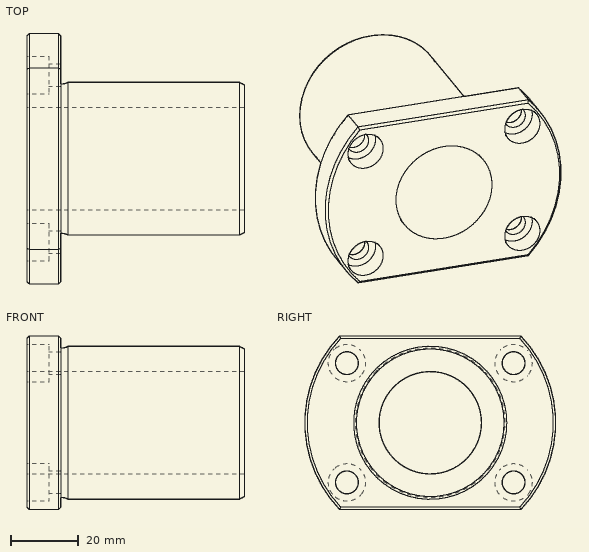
import cadquery as cq
import math

total_length = 64.0
bore_diameter = 30.0

flange_diameter = 73.75
flange_height = 51.0
flange_thickness = 10.0
flange_chamfer = 0.75

sleeve_diameter = 45.0
sleeve_end_chamfer_length = 1.55
sleeve_end_chamfer_depth = 0.8

neck_length = 2.15
neck_depth = 0.5

hole_diameter = 6.6
counterbore_diameter = 11.0
counterbore_depth = 6.55
hole_spacing_y = 49.0
hole_spacing_z = 35.0


def make_flange():
    disc = cq.Workplane("YZ").circle(flange_diameter / 2).extrude(flange_thickness)
    flats = cq.Workplane("YZ").rect(flange_diameter, flange_height).extrude(flange_thickness)
    return disc.intersect(flats).faces("<X or >X").edges().chamfer(flange_chamfer)


def make_sleeve():
    sleeve_radius = sleeve_diameter / 2
    neck_radius = sleeve_radius - neck_depth
    neck_end = flange_thickness + neck_length
    flare_radius = (neck_length**2 + neck_depth**2) / (2 * neck_depth)
    half_angle = math.asin(neck_length / flare_radius) / 2
    flare_middle = (
        flange_thickness + flare_radius * math.sin(half_angle),
        neck_radius + flare_radius * (1 - math.cos(half_angle)),
    )
    profile = (
        cq.Workplane("XY")
        .lineTo(0, neck_radius)
        .lineTo(flange_thickness, neck_radius)
        .threePointArc(flare_middle, (neck_end, sleeve_radius))
        .lineTo(total_length - sleeve_end_chamfer_length, sleeve_radius)
        .lineTo(total_length, sleeve_radius - sleeve_end_chamfer_depth)
        .lineTo(total_length, 0)
        .close()
    )
    return profile.revolve(360, (0, 0, 0), (1, 0, 0))


def make_bore():
    return cq.Workplane("YZ").circle(bore_diameter / 2).extrude(total_length)


def make_mounting_holes():
    centres = cq.Workplane("YZ").rect(hole_spacing_y, hole_spacing_z, forConstruction=True).vertices()
    through_holes = centres.circle(hole_diameter / 2).extrude(flange_thickness)
    counterbores = centres.circle(counterbore_diameter / 2).extrude(counterbore_depth)
    return through_holes.union(counterbores)


result = make_flange().union(make_sleeve()).cut(make_bore()).cut(make_mounting_holes())